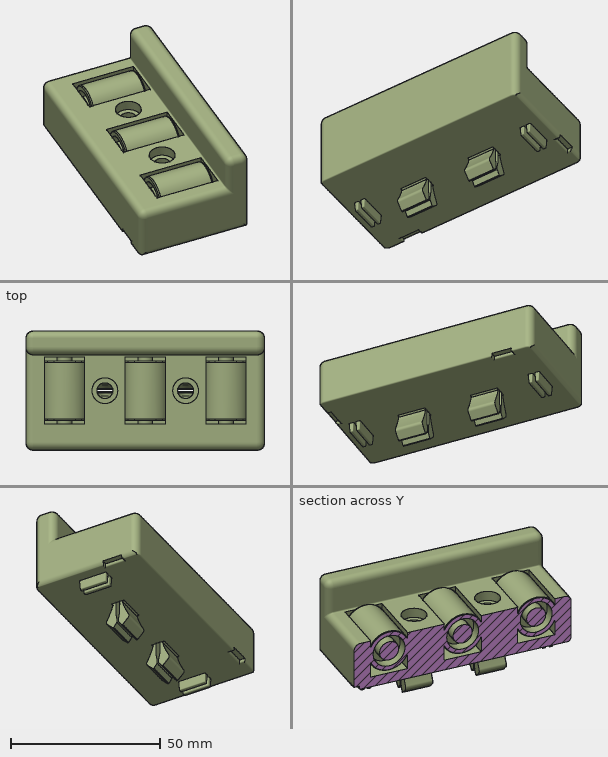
import cadquery as cq

LENGTH = 80.0
WIDTH = 40.0
BODY_HEIGHT = 30.0
DECK_HEIGHT = 18.0
WALL_THICKNESS = 8.0
EDGE_RADIUS = 2.5
WALL_FOOT_RADIUS = 0.5
BOTTOM_EDGE_RADIUS = 0.5

NOTCH_LENGTH = 7.1
NOTCH_HEIGHT = 1.3
NOTCH_DEPTH = 2.0
FRONT_NOTCH_X = 28.6
LEFT_NOTCH_Y = -10.1

ROLLER_SPACING = 27.0
ROLLER_RADIUS = 7.5
ROLLER_LENGTH = 19.8
ROLLER_TOP = 20.0
ROLLER_CHAMFER_LENGTH = 0.5
ROLLER_CHAMFER_DROP = 0.2
ROLLER_RECESS_RADIUS = 5.8
ROLLER_RECESS_DEPTH = 4.0
HUB_RADIUS = 3.6
AXLE_RADIUS = 2.5
POCKET_WIDTH = 13.5
POCKET_LENGTH = 22.4
POCKET_FLOOR = 4.0
AXLE_HEIGHT = ROLLER_TOP - ROLLER_RADIUS

HOLE_SPACING = ROLLER_SPACING
HOLE_RADIUS = 2.6
COUNTERBORE_RADIUS = 4.3
COUNTERBORE_DEPTH = 3.5
TAPER_TOP = 2.4
TAPER_BOTTOM = -4.1
CLIP_WIDTH = 10.0
CLIP_HEIGHT = 9.9
CLIP_SLOT = 1.5
CLIP_SLOT_END = -4.4
TAPER_END_RADIUS = CLIP_SLOT / 2

LEG_ROOT_Y = 2.4
LEG_NECK = (1.8, -0.5)
LEG_FLANK_START = (2.2, -2.0)
LEG_FLANK_MIDDLE = (3.1, -4.2)
LEG_BULGE_START = (4.2, -6.5)
LEG_BULGE_MIDDLE = (4.3, -7.3)
LEG_BULGE_END = (3.9, -7.9)
LEG_TIP_OUTER_Y = 1.9
LEG_TIP_INNER_Y = 1.5
LEG_PINCH_Y = 0.3
LEG_PINCH_BOTTOM = -8.2
LEG_PINCH_TOP = -6.7

FIN_CENTER_X = 33.4
FIN_SPACING = 2.5
FIN_THICKNESS = 1.8
FIN_LENGTH = 10.3
FIN_HEIGHT = 3.5
FIN_TIP_THICKNESS = 1.2
FIN_TIP_LENGTH = 9.9
FIN_EDGE_RADIUS = 0.3


def make_body():
    """L-shaped block with rounded edges and a softened underside."""
    front = -WIDTH / 2
    back = WIDTH / 2
    wall_front = back - WALL_THICKNESS
    round_start = -BOTTOM_EDGE_RADIUS
    profile = [
        (front, round_start),
        (back, round_start),
        (back, BODY_HEIGHT),
        (wall_front, BODY_HEIGHT),
        (wall_front, DECK_HEIGHT),
        (front, DECK_HEIGHT),
    ]
    body = cq.Workplane("YZ").polyline(profile).close().extrude(LENGTH / 2, both=True)
    end_edges = body.faces("<X or >X").edges()
    top_edges = body.edges("|X").edges(">Z or <Y").edges("not <Z")
    body = end_edges.add(top_edges).fillet(EDGE_RADIUS)
    wall_foot = cq.selectors.NearestToPointSelector((0, wall_front, DECK_HEIGHT))
    body = body.edges(wall_foot).fillet(WALL_FOOT_RADIUS)
    below = cq.Workplane("XY").box(LENGTH, WIDTH, BOTTOM_EDGE_RADIUS, centered=(True, True, False))
    body = body.cut(below.translate((0, 0, round_start)))

    front_notch = cq.Workplane("XY").box(NOTCH_LENGTH, 2 * NOTCH_DEPTH, 2 * NOTCH_HEIGHT)
    left_notch = cq.Workplane("XY").box(2 * NOTCH_DEPTH, NOTCH_LENGTH, 2 * NOTCH_HEIGHT)
    body = body.cut(front_notch.translate((FRONT_NOTCH_X, front, 0)))
    body = body.cut(left_notch.translate((-LENGTH / 2, LEFT_NOTCH_Y, 0)))
    return body.faces("<Z").edges().fillet(BOTTOM_EDGE_RADIUS)


def make_roller():
    """Roller with a ring-shaped recess in both ends, on its axle, centred on the origin along Y."""
    half_length = ROLLER_LENGTH / 2
    web_half_length = half_length - ROLLER_RECESS_DEPTH
    chamfer_start = half_length - ROLLER_CHAMFER_LENGTH
    end_radius = ROLLER_RADIUS - ROLLER_CHAMFER_DROP
    section = [
        (0, -half_length),
        (HUB_RADIUS, -half_length),
        (HUB_RADIUS, -web_half_length),
        (ROLLER_RECESS_RADIUS, -web_half_length),
        (ROLLER_RECESS_RADIUS, -half_length),
        (end_radius, -half_length),
        (ROLLER_RADIUS, -chamfer_start),
        (ROLLER_RADIUS, chamfer_start),
        (end_radius, half_length),
        (ROLLER_RECESS_RADIUS, half_length),
        (ROLLER_RECESS_RADIUS, web_half_length),
        (HUB_RADIUS, web_half_length),
        (HUB_RADIUS, half_length),
        (0, half_length),
    ]
    roller = cq.Workplane("XY").polyline(section).close().revolve(360, (0, 0), (0, 1))
    axle = cq.Workplane("XZ").circle(AXLE_RADIUS).extrude(POCKET_LENGTH / 2, both=True)
    return roller.union(axle)


def make_pocket():
    depth = DECK_HEIGHT - POCKET_FLOOR
    pocket = cq.Workplane("XY").box(POCKET_WIDTH, POCKET_LENGTH, depth, centered=(True, True, False))
    return pocket.translate((0, 0, POCKET_FLOOR))


def make_clip():
    """Two mirrored spring legs, swelling below the neck and pointed at the bottom."""
    leg = (
        cq.Workplane("YZ")
        .moveTo(CLIP_SLOT / 2, 0)
        .lineTo(LEG_ROOT_Y, 0)
        .lineTo(*LEG_NECK)
        .lineTo(*LEG_FLANK_START)
        .threePointArc(LEG_FLANK_MIDDLE, LEG_BULGE_START)
        .threePointArc(LEG_BULGE_MIDDLE, LEG_BULGE_END)
        .lineTo(LEG_TIP_OUTER_Y, -CLIP_HEIGHT)
        .lineTo(LEG_TIP_INNER_Y, -CLIP_HEIGHT)
        .lineTo(LEG_PINCH_Y, LEG_PINCH_BOTTOM)
        .lineTo(LEG_PINCH_Y, LEG_PINCH_TOP)
        .lineTo(CLIP_SLOT / 2, CLIP_SLOT_END)
        .close()
        .extrude(CLIP_WIDTH / 2, both=True)
    )
    return leg.union(leg.mirror("XZ"))


def make_screw_hole():
    """Counterbore, hole, taper reaching into the clip, and the clip slot."""
    hole_profile = [
        (0, DECK_HEIGHT),
        (COUNTERBORE_RADIUS, DECK_HEIGHT),
        (COUNTERBORE_RADIUS, DECK_HEIGHT - COUNTERBORE_DEPTH),
        (HOLE_RADIUS, DECK_HEIGHT - COUNTERBORE_DEPTH),
        (HOLE_RADIUS, TAPER_TOP),
        (TAPER_END_RADIUS, TAPER_BOTTOM),
        (0, TAPER_BOTTOM),
    ]
    hole = cq.Workplane("XZ").polyline(hole_profile).close().revolve(360, (0, 0), (0, 1))
    slot = cq.Workplane("XY").rect(CLIP_WIDTH, CLIP_SLOT).extrude(TAPER_TOP)
    return hole.union(slot)


def make_fin():
    return (
        cq.Workplane("XY")
        .rect(FIN_THICKNESS, FIN_LENGTH)
        .workplane(offset=-FIN_HEIGHT)
        .rect(FIN_TIP_THICKNESS, FIN_TIP_LENGTH)
        .loft(ruled=True)
        .edges("not >Z")
        .fillet(FIN_EDGE_RADIUS)
    )


result = make_body()

for roller_x in (-ROLLER_SPACING, 0, ROLLER_SPACING):
    result = result.cut(make_pocket().translate((roller_x, 0, 0)))
    result = result.union(make_roller().translate((roller_x, 0, AXLE_HEIGHT)))

for hole_x in (-HOLE_SPACING / 2, HOLE_SPACING / 2):
    result = result.union(make_clip().translate((hole_x, 0, 0)))
    result = result.cut(make_screw_hole().translate((hole_x, 0, 0)))

for end in (-1, 1):
    for side in (-1, 1):
        fin_x = end * FIN_CENTER_X + side * FIN_SPACING / 2
        result = result.union(make_fin().translate((fin_x, 0, 0)))